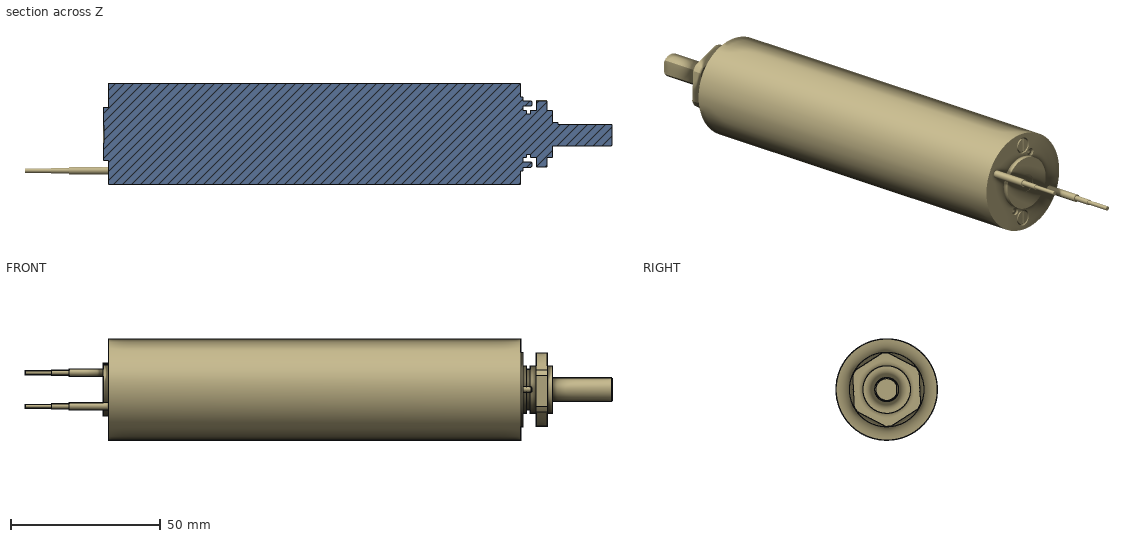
import cadquery as cq
import math


overall_length = 196.6
wire_step_x = 8.8
sleeve_start_x = 14.7
boss_rear_x = 26.1
body_rear_x = 28.0
body_front_x = 166.0
pilot_front_x = 166.7
collar_front_x = 167.9
thread_start_x = 169.0
nut_rear_x = 171.0
nut_front_x = 174.8
thread_end_x = 176.5

body_diameter = 34.0
boss_diameter = 17.9
pilot_diameter = 25.0
thread_diameter = 16.0
neck_diameter = 13.8

boss_recess_diameter = 6.0
boss_recess_depth = 0.2

shaft_diameter = 8.0
shaft_chamfer = 0.4
flat_start_x = 178.5
flat_depth = 0.8

nut_across_flats = 22.2
nut_corner_diameter = 24.5
nut_sides = 6
nut_corner_angle = 92.6

wire_radius = 13.5
wire_angle = 24.5
conductor_diameter = 1.4
insulation_diameter = 1.8
sleeve_diameter = 2.5

screw_radius = 12.8
screw_pocket_diameter = 5.5
screw_diameter = 4.5
screw_gap_depth = 1.0
screw_slot_width = 0.8

hole_y = 3.5
hole_z = 9.6
hole_diameter = 2.8
hole_depth = 1.0
hole_core_diameter = 1.4
hole_core_depth = 2.0

pin_y = 10.2
pin_diameter = 2.0
pin_end_x = 169.7
pin_chamfer = 0.4


def rod(start_x, end_x, diameter, y=0.0, z=0.0):
    """Cylinder along X between two stations, centred at (y, z)."""
    return (
        cq.Workplane("YZ", origin=(start_x, y, z))
        .circle(diameter / 2)
        .extrude(end_x - start_x)
    )


def make_housing():
    housing = rod(body_rear_x, body_front_x, body_diameter)
    boss = rod(boss_rear_x, body_rear_x, boss_diameter)
    recess = rod(boss_rear_x, boss_rear_x + boss_recess_depth, boss_recess_diameter)
    return housing.union(boss).cut(recess)


def make_neck():
    pilot = rod(body_front_x, pilot_front_x, pilot_diameter)
    collar = rod(pilot_front_x, collar_front_x, thread_diameter)
    neck = rod(collar_front_x, thread_start_x, neck_diameter)
    thread = rod(thread_start_x, thread_end_x, thread_diameter)
    return pilot.union(collar).union(neck).union(thread)


def make_nut():
    across_corners = nut_across_flats / math.cos(math.pi / nut_sides)
    thickness = nut_front_x - nut_rear_x
    hexagon = (
        cq.Workplane("YZ", origin=(nut_rear_x, 0, 0))
        .polygon(nut_sides, across_corners)
        .extrude(thickness)
        .rotate((0, 0, 0), (1, 0, 0), nut_corner_angle)
    )
    return hexagon.intersect(rod(nut_rear_x, nut_front_x, nut_corner_diameter))


def make_shaft():
    shaft = rod(thread_end_x, overall_length, shaft_diameter).faces(">X").chamfer(shaft_chamfer)
    flat_cutter = cq.Workplane("XY").box(
        overall_length - flat_start_x, flat_depth, shaft_diameter, centered=(False, False, True)
    )
    return shaft.cut(flat_cutter.translate((flat_start_x, shaft_diameter / 2 - flat_depth, 0)))


def make_wire(side):
    angle = math.radians(wire_angle)
    y = side * wire_radius * math.cos(angle)
    z = side * wire_radius * math.sin(angle)
    conductor = rod(0, wire_step_x, conductor_diameter, y, z)
    insulation = rod(wire_step_x, sleeve_start_x, insulation_diameter, y, z)
    sleeve = rod(sleeve_start_x, body_rear_x, sleeve_diameter, y, z)
    return conductor.union(insulation).union(sleeve)


def make_screw_cut(side):
    """Ring-shaped gap around a flush screw, plus the slot across its head."""
    z = side * screw_radius
    bottom_x = body_rear_x + screw_gap_depth
    screw = rod(body_rear_x, bottom_x, screw_diameter, 0, z)
    gap = rod(body_rear_x, bottom_x, screw_pocket_diameter, 0, z).cut(screw)
    slot = cq.Workplane("XY").box(
        screw_gap_depth, screw_slot_width, screw_diameter, centered=(False, True, True)
    )
    return gap.union(slot.translate((body_rear_x, 0, z)))


def make_hole_cut(side):
    y = -side * hole_y
    z = side * hole_z
    mouth = rod(boss_rear_x, body_rear_x + hole_depth, hole_diameter, y, z)
    core = rod(boss_rear_x, body_rear_x + hole_core_depth, hole_core_diameter, y, z)
    return mouth.union(core)


def make_pin(side):
    pin = rod(pilot_front_x, pin_end_x, pin_diameter, side * pin_y)
    return pin.faces(">X").chamfer(pin_chamfer)


result = make_housing().union(make_neck()).union(make_nut()).union(make_shaft())
for side in (1, -1):
    result = result.union(make_wire(side)).union(make_pin(side))
    result = result.cut(make_screw_cut(side)).cut(make_hole_cut(side))